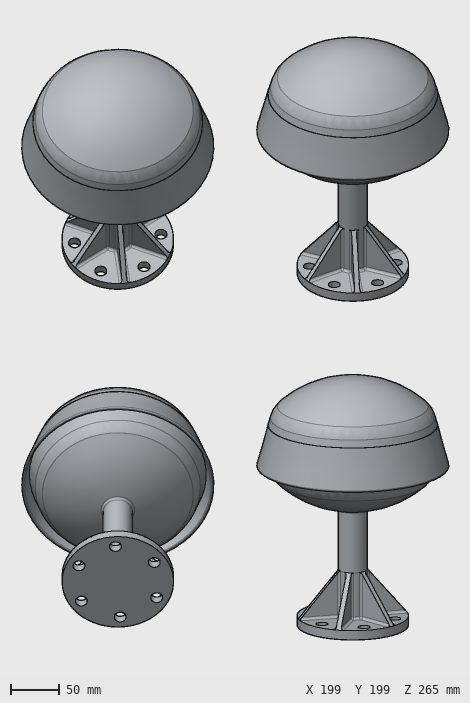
import cadquery as cq
import math

total_height = 265.0

flange_radius = 57.8
flange_thickness = 10.0
bolt_count = 6
bolt_hole_diameter = 12.2
bolt_circle_radius = 45.0

pole_radius = 15.0
rib_count = 6
rib_thickness = 5.3
rib_top_height = 60.2
rib_fillet = 3.0
pole_head_fillet = 2.6

half_head_height = 69.7
equator_radius = 93.0
shoulder_radius = 83.7
shoulder_offset = 34.5
shoulder_fillet = 25.0
equator_height = total_height - half_head_height

skirt_top_height = 215.2
skirt_bottom_height = 170.5
skirt_diameter = 199.0
skirt_outer_radius = skirt_diameter / 2
skirt_step = 0.3
skirt_thickness = 3.2
skirt_lip_fillet = 1.3


def make_head():
    dome_height = half_head_height - shoulder_offset
    dome_radius = (shoulder_radius**2 + dome_height**2) / (2 * dome_height)
    half_angle = math.asin(shoulder_radius / dome_radius) / 2
    arc_mid_radius = dome_radius * math.sin(half_angle)
    arc_mid_offset = half_head_height - dome_radius * (1 - math.cos(half_angle))
    head = (
        cq.Workplane("XZ", origin=(0, 0, equator_height))
        .moveTo(0, -half_head_height)
        .threePointArc((arc_mid_radius, -arc_mid_offset), (shoulder_radius, -shoulder_offset))
        .lineTo(equator_radius, 0)
        .lineTo(shoulder_radius, shoulder_offset)
        .threePointArc((arc_mid_radius, arc_mid_offset), (0, half_head_height))
        .close()
        .revolve(360, (0, 0, 0), (0, 1, 0))
    )
    shoulders = cq.selectors.RadiusNthSelector(0)
    return head.edges("%CIRCLE").edges(shoulders).fillet(shoulder_fillet)


def make_skirt():
    head_taper = (equator_radius - shoulder_radius) / shoulder_offset
    head_radius_at_top = equator_radius - head_taper * (skirt_top_height - equator_height)
    top_radius = head_radius_at_top + skirt_step
    skirt_height = skirt_top_height - skirt_bottom_height
    lip_angle = math.atan2(skirt_height, skirt_outer_radius - top_radius)
    lip_radius = skirt_outer_radius + skirt_lip_fillet * (1 / math.tan(lip_angle / 2) - 1)
    return (
        cq.Workplane("XZ")
        .moveTo(top_radius, skirt_top_height)
        .lineTo(lip_radius, skirt_bottom_height)
        .lineTo(lip_radius - skirt_thickness, skirt_bottom_height)
        .lineTo(top_radius - skirt_thickness, skirt_top_height)
        .close()
        .revolve(360, (0, 0, 0), (0, 1, 0))
        .faces("<Z")
        .edges()
        .fillet(skirt_lip_fillet)
    )


def make_rib_pocket():
    """Space between two neighbouring ribs, with rounded inner corners and floor."""
    half_sector = math.pi / rib_count
    apex = rib_thickness / 2 / math.sin(half_sector)
    reach = 2 * flange_radius
    half_width = (reach - apex) * math.tan(half_sector)
    pole_core = cq.Workplane("XY").circle(pole_radius).extrude(total_height)
    pocket = (
        cq.Workplane("XY", origin=(0, 0, flange_thickness))
        .polyline([(apex, 0), (reach, half_width), (reach, -half_width)])
        .close()
        .extrude(rib_top_height)
        .cut(pole_core)
    )
    return pocket.edges("|Z").fillet(rib_fillet).faces("<Z").edges().fillet(rib_fillet)


def make_base():
    base = (
        cq.Workplane("XZ")
        .polyline(
            [
                (0, 0),
                (flange_radius, 0),
                (flange_radius, flange_thickness),
                (pole_radius, rib_top_height),
                (0, rib_top_height),
            ]
        )
        .close()
        .revolve(360, (0, 0, 0), (0, 1, 0))
    )
    pocket = make_rib_pocket()
    for i in range(rib_count):
        pocket_angle = (i + 0.5) * 360 / rib_count
        base = base.cut(pocket.rotate((0, 0, 0), (0, 0, 1), pocket_angle))
    first_bolt_angle = 180 / bolt_count
    bolt_holes = (
        cq.Workplane("XY")
        .polarArray(bolt_circle_radius, first_bolt_angle, 360, bolt_count)
        .circle(bolt_hole_diameter / 2)
        .extrude(flange_thickness)
    )
    return base.cut(bolt_holes)


pole = cq.Workplane("XY").circle(pole_radius).extrude(equator_height)
head_on_pole = make_head().union(pole)

joint_region = cq.selectors.BoxSelector(
    (-pole_radius, -pole_radius, equator_height - half_head_height),
    (pole_radius, pole_radius, equator_height - shoulder_offset),
)
head_on_pole = head_on_pole.edges(joint_region).fillet(pole_head_fillet)

result = head_on_pole.union(make_skirt()).union(make_base())